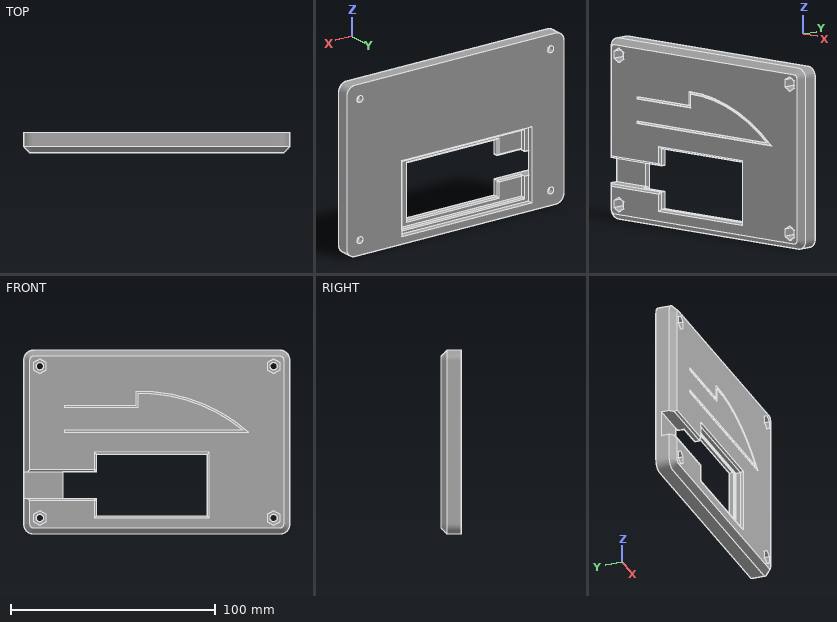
import cadquery as cq

length = 130.0
depth = 10.0
height = 90.0
corner_radius = 5.0
front_chamfer = 3.0

screw_inset = 7.9
screw_diameter = 3.5
nut_corner_diameter = 7.2
nut_depth = 6.5
nut_sides = 6
nut_turn = 180 / nut_sides

bevel_angle = 45
panel_thickness = 4.3
opening_chamfer = 1.0
rear_chamfer = 0.8
window_left = 35.6
window_right = 89.6
window_bottom = 9.0
window_top = 39.0
slot_width = 13.0
slot_depth = 7.0
slot_middle = (window_bottom + window_top) / 2
slot_bottom = slot_middle - slot_width / 2
slot_top = slot_middle + slot_width / 2

pocket_left = 21.5
pocket_margin = 2.7
pocket_right_margin = 5.2
pocket_step = 2.2
pocket_edge_chamfer = 0.6

groove_width = 1.0
groove_depth = 1.0
handle_end = 20.0
handle_bottom = 49.8
handle_top = 62.9
blade_heel = 54.9
blade_top = 69.8
blade_tip = 109.8
blade_middle = (82.4, 65.6)


def at_depth(y):
    """Sketch plane parallel to the front face, drawn in X and Z."""
    return cq.Workplane("XZ", origin=(0, y, 0))


def block(left, right, bottom, top, front, back):
    return cq.Workplane("XY").box(
        right - left, back - front, top - bottom, centered=False
    ).translate((left, front, bottom))


def make_plate():
    plate = block(0, length, 0, height, 0, depth)
    plate = plate.edges("|Y").fillet(corner_radius)
    return plate.faces("<Y").chamfer(front_chamfer)


def opening_outline(y, growth):
    """Outline of window and slot, grown outward; the slot runs past the left side."""
    return at_depth(y).polyline([
        (-front_chamfer, slot_bottom - growth),
        (window_left - growth, slot_bottom - growth),
        (window_left - growth, window_bottom - growth),
        (window_right + growth, window_bottom - growth),
        (window_right + growth, window_top + growth),
        (window_left - growth, window_top + growth),
        (window_left - growth, slot_top + growth),
        (-front_chamfer, slot_top + growth),
    ]).close()


def make_opening():
    through = opening_outline(0, 0).extrude(-panel_thickness)
    front_bevel = opening_outline(0, opening_chamfer).extrude(-opening_chamfer, taper=bevel_angle)
    rear_bevel = opening_outline(panel_thickness, rear_chamfer).extrude(rear_chamfer, taper=bevel_angle)
    behind_pocket = block(pocket_left, length, 0, height, 0, depth)
    slot = block(-front_chamfer, pocket_left, slot_bottom, slot_top, 0, slot_depth)
    return through.union(front_bevel).union(rear_bevel.intersect(behind_pocket)).union(slot)


def make_pocket():
    left = pocket_left
    right = window_right + pocket_right_margin
    bottom = window_bottom - pocket_margin
    top = window_top + pocket_margin
    inner = block(left, right, bottom, top, panel_thickness, slot_depth)
    outer = block(
        left - pocket_step, right + pocket_step, bottom - pocket_step, top + pocket_step,
        slot_depth, depth,
    )
    bevel_length = right - left + pocket_edge_chamfer
    bevel_height = top - bottom + 2 * pocket_edge_chamfer
    bevel = (
        at_depth(slot_depth)
        .center(left + bevel_length / 2, (bottom + top) / 2)
        .rect(bevel_length, bevel_height)
        .extrude(pocket_edge_chamfer, taper=bevel_angle)
    )
    return inner.union(bevel).union(outer)


def make_screw_holes():
    centers = [
        (x, z)
        for x in (screw_inset, length - screw_inset)
        for z in (screw_inset, height - screw_inset)
    ]
    holes = at_depth(0).pushPoints(centers).circle(screw_diameter / 2).extrude(-depth)
    for x, z in centers:
        nut = cq.Workplane("XZ").polygon(nut_sides, nut_corner_diameter).extrude(-nut_depth)
        holes = holes.union(nut.rotate((0, 0, 0), (0, 1, 0), nut_turn).translate((x, 0, z)))
    return holes


def knife_outline(closed_end):
    return (
        at_depth(0)
        .moveTo(closed_end, handle_bottom)
        .lineTo(blade_tip, handle_bottom)
        .threePointArc(blade_middle, (blade_heel, blade_top))
        .lineTo(blade_heel, handle_top)
        .lineTo(closed_end, handle_top)
        .close()
    )


def make_knife_groove():
    closed_end = handle_end - groove_width
    knife = knife_outline(closed_end).extrude(-groove_depth)
    core = knife_outline(closed_end).offset2D(-groove_width, "intersection").extrude(-groove_depth)
    end_wall = block(closed_end, handle_end, handle_bottom, handle_top, 0, groove_depth)
    return knife.cut(core).cut(end_wall)


result = (
    make_plate()
    .cut(make_opening())
    .cut(make_pocket())
    .cut(make_screw_holes())
    .cut(make_knife_groove())
)